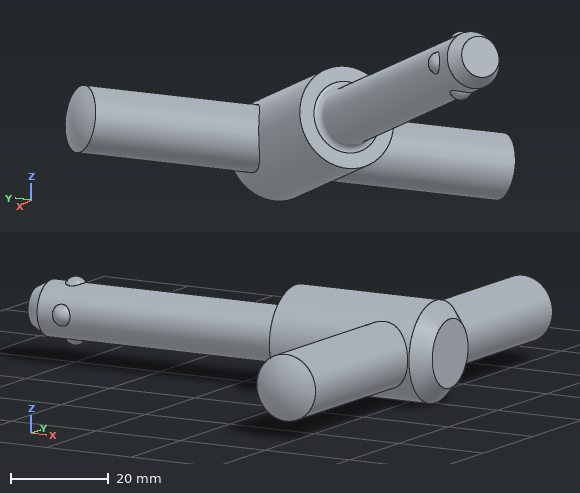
import cadquery as cq

total_length = 97.5
hub_length = 36.5
shank_length = total_length - hub_length

shank_radius = 6.0
nose_length = 3.2
nose_radius = 4.3
root_fillet = 1.5

ball_count = 4
ball_radius = 2.4
ball_protrusion = 1.2
ball_from_nose = 8.9

hub_radius = 10.73
hub_chamfer = 3.5

handle_length = 99.8
handle_radius = 7.0
dome_height = 1.9
handle_from_hub_end = 10.8
handle_x = hub_length - handle_from_hub_end


def make_shank():
    """Turned shank with its locking balls, ending against the hub face."""
    shank = (
        cq.Workplane("XY")
        .moveTo(-shank_length, 0)
        .lineTo(-shank_length, nose_radius)
        .lineTo(-shank_length + nose_length, shank_radius)
        .lineTo(-root_fillet, shank_radius)
        .radiusArc((0, shank_radius + root_fillet), -root_fillet)
        .lineTo(0, 0)
        .close()
        .revolve(360, (0, 0, 0), (1, 0, 0))
    )
    ball_x = -shank_length + ball_from_nose
    ball_offset = shank_radius + ball_protrusion - ball_radius
    ball = cq.Workplane("XY").sphere(ball_radius).translate((ball_x, 0, ball_offset))
    for i in range(ball_count):
        shank = shank.union(ball.rotate((0, 0, 0), (1, 0, 0), i * 360 / ball_count))
    return shank


def make_handle():
    """Round bar through the hub, with a shallow dome on each end."""
    tip_y = handle_length / 2
    rim_y = tip_y - dome_height
    dome_radius = (handle_radius**2 + dome_height**2) / (2 * dome_height)
    return (
        cq.Workplane("XY")
        .moveTo(0, -tip_y)
        .radiusArc((handle_radius, -rim_y), -dome_radius)
        .lineTo(handle_radius, rim_y)
        .radiusArc((0, tip_y), -dome_radius)
        .close()
        .revolve(360, (0, 0, 0), (0, 1, 0))
        .translate((handle_x, 0, 0))
    )


def make_hub():
    """Cylinder chamfered at its free end, with a cross hole for the handle."""
    hub = cq.Workplane("YZ").circle(hub_radius).extrude(hub_length).faces(">X").chamfer(hub_chamfer)
    cross_hole = (
        cq.Workplane("XZ")
        .center(handle_x, 0)
        .circle(handle_radius)
        .extrude(hub_radius, both=True)
    )
    return hub.cut(cross_hole)


shank = make_shank()
hub = make_hub()
handle = make_handle()

result = cq.Compound.makeCompound([shank.val(), hub.val(), handle.val()])